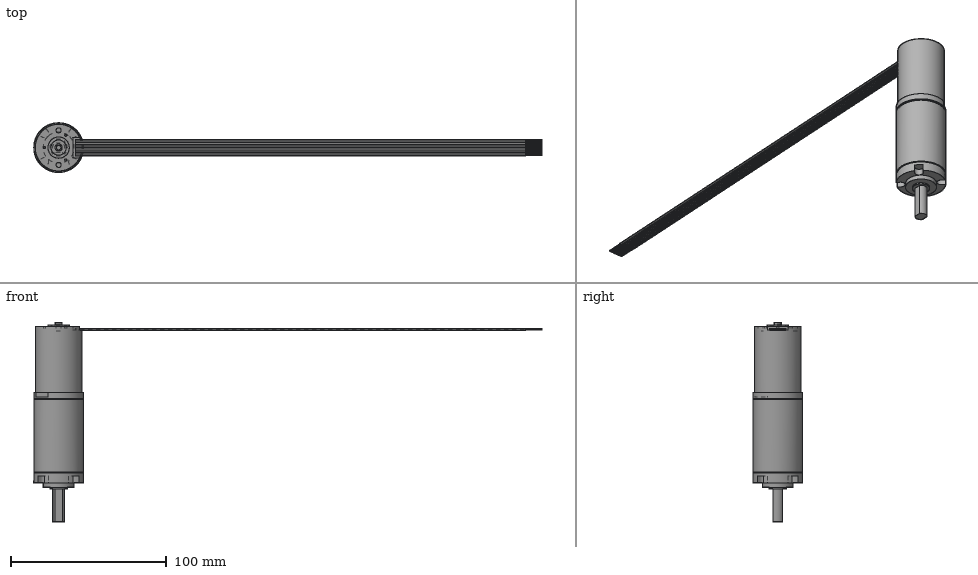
import cadquery as cq
import math


motor_diameter = 30.0
motor_length = 42.5
collar_diameter = 13.7
collar_height = 1.0
collar_recess_diameter = 9.8
collar_recess_depth = 0.5
stub_diameter = 4.5
stub_height = 2.5
stub_bore_diameter = 3.0
stub_bore_depth = 1.0
screw_hole_diameter = 3.3
screw_circle_radius = 11.0
screw_angles = (90, 270)
screw_hole_depth = 3.0
small_hole_diameter = 1.3
small_circle_radius = 9.0
small_hole_angles = (60, 180, 300)
small_hole_depth = 1.0

wire_count = 10
wire_pitch = 1.05
insulation_diameter = 1.3
conductor_diameter = 0.88
cable_axis_z = 40.5
cable_start_x = 10.8
cable_end_x = 310.5
stripped_length = 10.5
notch_wall_x = 9.0
notch_width = 13.0
notch_floor_z = cable_axis_z - insulation_diameter / 4

gearbox_diameter = 32.0
gearbox_length = 58.0
rear_flange_height = 4.5
front_cover_height = 7.0
joint_chamfer = 0.5
flat_height = 3.0
flat_angle = 225
slot_width = 5.5
slot_height = 4.2
slot_center_radius = 13.0
slot_angles = (45, 135, 225, 315)
pilot_diameter = 20.0
pilot_height = 3.0
shaft_collar_diameter = 11.0
shaft_collar_height = 1.0
shaft_diameter = 8.0
shaft_length = 21.2
shaft_across_flats = 6.2


def revolved(profile):
    """Solid of revolution about Z from (radius, z) points that start and end on the axis."""
    return cq.Workplane("XZ").polyline(profile).close().revolve(360, (0, 0, 0), (0, 1, 0))


def cylinder_x(diameter, x_start, x_end, y, z):
    return (
        cq.Workplane("YZ", origin=(x_start, y, z))
        .circle(diameter / 2)
        .extrude(x_end - x_start)
    )


def hole_ring(diameter, depth, ring_radius, angles):
    """Cylinders that reach down from the rear face of the motor, at the given angles."""
    points = [
        (ring_radius * math.cos(math.radians(a)), ring_radius * math.sin(math.radians(a)))
        for a in angles
    ]
    return (
        cq.Workplane("XY", origin=(0, 0, motor_length))
        .pushPoints(points)
        .circle(diameter / 2)
        .extrude(-depth)
    )


def make_motor_housing():
    can_radius = motor_diameter / 2
    collar_top = motor_length + collar_height
    recess_floor = collar_top - collar_recess_depth
    stub_top = motor_length + stub_height
    housing = revolved([
        (0, 0),
        (can_radius, 0),
        (can_radius, motor_length),
        (collar_diameter / 2, motor_length),
        (collar_diameter / 2, collar_top),
        (collar_recess_diameter / 2, collar_top),
        (collar_recess_diameter / 2, recess_floor),
        (stub_diameter / 2, recess_floor),
        (stub_diameter / 2, stub_top),
        (stub_bore_diameter / 2, stub_top),
        (stub_bore_diameter / 2, stub_top - stub_bore_depth),
        (0, stub_top - stub_bore_depth),
    ])
    notch = cq.Workplane("XY", origin=(notch_wall_x, 0, notch_floor_z)).box(
        motor_diameter, notch_width, motor_length, centered=(False, True, False)
    )
    screw_holes = hole_ring(screw_hole_diameter, screw_hole_depth, screw_circle_radius, screw_angles)
    small_holes = hole_ring(
        small_hole_diameter, small_hole_depth, small_circle_radius, small_hole_angles
    )
    return housing.cut(notch).cut(screw_holes).cut(small_holes)


def make_motor():
    """Motor housing with the ribbon cable bonded to the floor of its notch."""
    motor = make_motor_housing()
    insulation_end_x = cable_end_x - stripped_length
    for i in range(wire_count):
        y = (i - (wire_count - 1) / 2) * wire_pitch
        insulation = cylinder_x(
            insulation_diameter, cable_start_x, insulation_end_x, y, cable_axis_z
        )
        conductor = cylinder_x(conductor_diameter, insulation_end_x, cable_end_x, y, cable_axis_z)
        motor = motor.union(insulation).union(conductor)
    return motor


def make_gearbox_housing():
    radius = gearbox_diameter / 2
    joint_radius = radius - joint_chamfer
    cover_top = front_cover_height - gearbox_length
    pilot_end = -gearbox_length - pilot_height
    collar_end = pilot_end - shaft_collar_height
    housing = revolved([
        (0, 0),
        (radius, 0),
        (radius, joint_chamfer - rear_flange_height),
        (joint_radius, -rear_flange_height),
        (radius, -rear_flange_height),
        (radius, cover_top),
        (joint_radius, cover_top),
        (radius, cover_top - joint_chamfer),
        (radius, -gearbox_length),
        (pilot_diameter / 2, -gearbox_length),
        (pilot_diameter / 2, pilot_end),
        (shaft_collar_diameter / 2, pilot_end),
        (shaft_collar_diameter / 2, collar_end),
        (0, collar_end),
    ])
    flat = (
        cq.Workplane("XY")
        .box(gearbox_diameter, gearbox_diameter, flat_height, centered=(False, True, False))
        .translate((motor_diameter / 2, 0, -flat_height))
        .rotate((0, 0, 0), (0, 0, 1), flat_angle)
    )
    housing = housing.cut(flat)
    for angle in slot_angles:
        housing = housing.cut(make_rim_slot().rotate((0, 0, 0), (0, 0, 1), angle))
    return housing


def make_rim_slot():
    """Slot along +X, open at the rim and at the front face, with a round inner end."""
    slot_base = cq.Workplane("XY", origin=(slot_center_radius, 0, -gearbox_length))
    round_end = slot_base.circle(slot_width / 2).extrude(slot_height)
    straight = slot_base.box(
        gearbox_diameter, slot_width, slot_height, centered=(False, True, False)
    )
    return round_end.union(straight)


def make_output_shaft():
    shaft_start = -gearbox_length - pilot_height - shaft_collar_height
    shaft_base = cq.Workplane("XY", origin=(0, 0, shaft_start))
    bar = shaft_base.circle(shaft_diameter / 2).extrude(-shaft_length)
    between_flats = shaft_base.rect(shaft_diameter, shaft_across_flats).extrude(-shaft_length)
    return bar.intersect(between_flats)


def make_gearbox():
    return make_gearbox_housing().union(make_output_shaft())


motor = make_motor()
gearbox = make_gearbox()
result = cq.Compound.makeCompound([motor.val(), gearbox.val()])